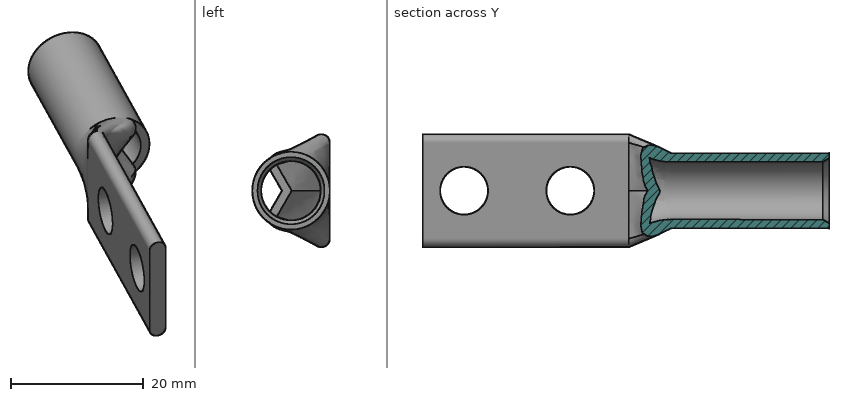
import cadquery as cq
import math

total_length = 61.2
barrel_radius = 5.845
barrel_length = 23.9
bore_radius = 4.45
mouth_radius = 5.05
mouth_depth = 1.0
pad_start = 30.2
pad_width = 17.0
pad_thickness = 2.6

hole_diameter = 7.15
hole_pitch = 16.0
end_hole_x = 54.95

fold_apex_y = 1.38
fold_angle = 30.0
seam_y = 2.295
corner_y = 3.35
corner_z = 4.45
fold_end_z = 3.4
wall_thickness = pad_thickness / 2
transition_length = pad_start - barrel_length
ridge_delay = 1.4
section_count = 6
slit_half_width = 5.95
slit_height = 0.05

pad_bottom_y = -barrel_radius
pad_middle_y = pad_bottom_y + pad_thickness / 2
pad_top_y = pad_bottom_y + pad_thickness
pad_side_z = pad_width / 2
pad_flat_z = pad_side_z - pad_thickness / 2
pad_fold_end_z = pad_flat_z * 2 / 3
pad_corner_z = (pad_flat_z + pad_fold_end_z) / 2


def blend(start, end, fraction):
    """Return the (Y, Z) point part of the way between two points."""
    return tuple(a + (b - a) * fraction for a, b in zip(start, end))


def mirror(point):
    """Reflect a (Y, Z) point to the opposite Z side."""
    return (point[0], -point[1])


def transition_section(fraction):
    """Outline of the folded tube, from the barrel (0) to the pad (1)."""
    eased = (1 - math.cos(math.pi * fraction ** ridge_delay)) / 2
    seam_z = math.sqrt(barrel_radius ** 2 - seam_y ** 2)
    fold_end_y = fold_apex_y + fold_end_z * math.tan(math.radians(fold_angle))

    low = blend((-seam_y, seam_z), (pad_bottom_y, pad_flat_z), fraction)
    side = blend((0, barrel_radius), (pad_middle_y, pad_side_z), fraction)
    high = blend((seam_y, seam_z), (pad_top_y, pad_flat_z), fraction)
    corner = blend((corner_y, corner_z), (pad_top_y, pad_corner_z), eased)
    fold_end = blend((fold_end_y, fold_end_z), (pad_top_y, pad_fold_end_z), eased)
    apex = blend((fold_apex_y, 0), (pad_top_y, 0), fraction)

    section = cq.Workplane("YZ", origin=(barrel_length + transition_length * fraction, 0, 0))
    section = section.moveTo(*mirror(low))
    if fraction < 1:
        section = section.threePointArc((pad_bottom_y, 0), low)
        section = section.threePointArc(side, high).threePointArc(corner, fold_end)
        section = section.lineTo(*apex).lineTo(*mirror(fold_end))
        section = section.threePointArc(mirror(corner), mirror(high))
    else:
        section = section.lineTo(*low).threePointArc(side, high).lineTo(*fold_end)
        section = section.lineTo(*apex).lineTo(*mirror(fold_end)).lineTo(*mirror(high))
    return section.threePointArc(mirror(side), mirror(low)).close().val()


def make_transition():
    sections = [transition_section(i / (section_count - 1)) for i in range(section_count)]
    return cq.Workplane(cq.Solid.makeLoft(sections, False))


def make_barrel():
    return cq.Workplane("YZ").circle(barrel_radius).extrude(barrel_length)


def make_pad():
    return (
        cq.Workplane("YZ", origin=(pad_start, pad_middle_y, 0))
        .slot2D(pad_width, pad_thickness, 90)
        .extrude(total_length - pad_start)
    )


def make_bore():
    bore = cq.Workplane("YZ").circle(bore_radius).extrude(barrel_length)
    profile = [(0, 0), (0, mouth_radius), (mouth_depth, bore_radius), (mouth_depth, 0)]
    mouth = cq.Workplane("XY").polyline(profile).close().revolve(360, (0, 0, 0), (1, 0, 0))
    return bore.union(mouth)


def make_cavity():
    """Hollow under the fold, tapering from the bore to a closed slit at the pad."""
    angle = math.radians(fold_angle)
    apex_y = fold_apex_y - wall_thickness / math.cos(angle)
    offset = apex_y * math.cos(angle)
    along = math.sqrt(bore_radius ** 2 - offset ** 2) - apex_y * math.sin(angle)
    edge = (apex_y + along * math.sin(angle), along * math.cos(angle))
    slit_edge = (pad_middle_y, slit_half_width)
    start = (
        cq.Workplane("YZ", origin=(barrel_length, 0, 0))
        .moveTo(*mirror(edge))
        .threePointArc((-bore_radius, 0), edge)
        .lineTo(apex_y, 0)
        .close()
        .val()
    )
    end = (
        cq.Workplane("YZ", origin=(pad_start, 0, 0))
        .moveTo(*mirror(slit_edge))
        .lineTo(*slit_edge)
        .lineTo(pad_middle_y + slit_height, 0)
        .close()
        .val()
    )
    return cq.Workplane(cq.Solid.makeLoft([start, end], True))


def make_holes():
    hole_positions = [(end_hole_x - hole_pitch, 0), (end_hole_x, 0)]
    return (
        cq.Workplane("XZ", origin=(0, pad_top_y, 0))
        .pushPoints(hole_positions)
        .circle(hole_diameter / 2)
        .extrude(pad_thickness)
    )


body = make_barrel().union(make_transition()).union(make_pad())
result = body.cut(make_bore()).cut(make_cavity()).cut(make_holes())